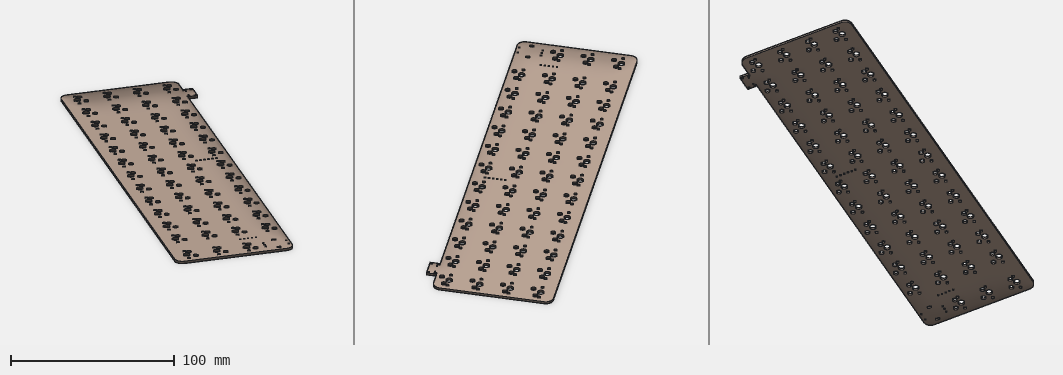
import cadquery as cq


length = 251.2
total_width = 81.1
thickness = 1.6
board_width = 74.9
corner_radius = 4.8

rows = 4
regular_columns = 12
last_column_gap = 1.25
key_field_length = 233.5
pitch = key_field_length / (regular_columns - 1 + last_column_gap)
grid = pitch / 15
side_margin = (length - key_field_length) / 2
row_margin = (board_width - (rows - 1) * pitch) / 2

stem_diameter = 4.0
peg_diameter = 1.8
socket_diameter = 3.0
peg_offset = 4 * grid
socket_offsets = [(-3 * grid, 2 * grid), (2 * grid, 4 * grid)]

pin_diameter = 1.0
small_pin_diameter = 0.8
header_step = 2 * grid
middle_header_pins = 6
right_header_pins = 5
middle_header_rise = 0.3
right_header_drop = 0.5

encoder_slot_spacing = 11.0
encoder_slot_width = 1.5
encoder_slot_length = 2.8
encoder_pin_step = 2.5
encoder_switch_pin_offset = 7.0
encoder_signal_pin_offset = 7.5

tab_length = 10.8
tab_height = total_width - board_width
shell_slot_spacing = 8.5
shell_slot_width = 0.6
front_slot_length = 1.2
rear_slot_length = 1.7
front_slot_inset = 1.3
front_to_rear_slot = 4.3
locating_hole_diameter = 0.65
locating_hole_spacing = 5.8
locating_hole_to_rear_slot = 0.53

left = -length / 2
bottom = -total_width / 2
top = total_width / 2
column_x = [left + side_margin + i * pitch for i in range(regular_columns)]
last_column_x = column_x[-1] + last_column_gap * pitch
row_y = [bottom + row_margin + j * pitch for j in range(rows)]
tab_x = (column_x[0] + column_x[1]) / 2


def cut_holes(body, points, diameter):
    cutter = cq.Workplane("XY").pushPoints(points).circle(diameter / 2).extrude(thickness)
    return body.cut(cutter)


def cut_upright_slots(body, points, slot_length, slot_width):
    cutter = cq.Workplane("XY").pushPoints(points).slot2D(slot_length, slot_width, 90).extrude(thickness)
    return body.cut(cutter)


def mirrored_pair(x, spacing, y):
    return [(x - spacing / 2, y), (x + spacing / 2, y)]


def vertical_row(x, top_y, count):
    return [(x, top_y - i * header_step) for i in range(count)]


def make_board():
    plate = (
        cq.Workplane("XY")
        .box(length, board_width, thickness, centered=(True, False, False))
        .edges("|Z")
        .fillet(corner_radius)
        .translate((0, bottom, 0))
    )
    tab = (
        cq.Workplane("XY")
        .box(tab_length, tab_height + corner_radius, thickness, centered=(True, False, False))
        .translate((tab_x, top - tab_height - corner_radius, 0))
    )
    return plate.union(tab)


def cut_switches(body):
    keys = [(x, y) for x in column_x for y in row_y]
    keys += [(last_column_x, y) for y in row_y[:-1]]
    pegs = [peg for x, y in keys for peg in mirrored_pair(x, 2 * peg_offset, y)]
    sockets = [(x + dx, y + dy) for x, y in keys for dx, dy in socket_offsets]
    body = cut_holes(body, keys, stem_diameter)
    body = cut_holes(body, pegs, peg_diameter)
    return cut_holes(body, sockets, socket_diameter)


def cut_encoder(body):
    x = last_column_x
    y = row_y[-1]
    slots = mirrored_pair(x, encoder_slot_spacing, y)
    pins = mirrored_pair(x, 2 * encoder_pin_step, y + encoder_switch_pin_offset)
    pins += [(x + i * encoder_pin_step, y - encoder_signal_pin_offset) for i in (-1, 0, 1)]
    body = cut_upright_slots(body, slots, encoder_slot_length, encoder_slot_width)
    return cut_holes(body, pins, pin_diameter)


def cut_headers(body):
    middle_x = (column_x[regular_columns // 2 - 1] + column_x[regular_columns // 2]) / 2
    middle_top_y = row_y[-1] + middle_header_rise
    right_x = (column_x[-1] + last_column_x) / 2
    right_top_y = row_y[-2] - right_header_drop + (right_header_pins - 1) * header_step
    middle_pins = vertical_row(middle_x, middle_top_y, middle_header_pins)
    right_pins = vertical_row(right_x, right_top_y, right_header_pins)
    body = cut_holes(body, middle_pins, pin_diameter)
    return cut_holes(body, right_pins, small_pin_diameter)


def cut_connector(body):
    front_y = top - front_slot_inset
    rear_y = front_y - front_to_rear_slot
    front_slots = mirrored_pair(tab_x, shell_slot_spacing, front_y)
    rear_slots = mirrored_pair(tab_x, shell_slot_spacing, rear_y)
    locating_holes = mirrored_pair(tab_x, locating_hole_spacing, rear_y + locating_hole_to_rear_slot)
    body = cut_upright_slots(body, front_slots, front_slot_length, shell_slot_width)
    body = cut_upright_slots(body, rear_slots, rear_slot_length, shell_slot_width)
    return cut_holes(body, locating_holes, locating_hole_diameter)


result = cut_connector(cut_headers(cut_encoder(cut_switches(make_board()))))